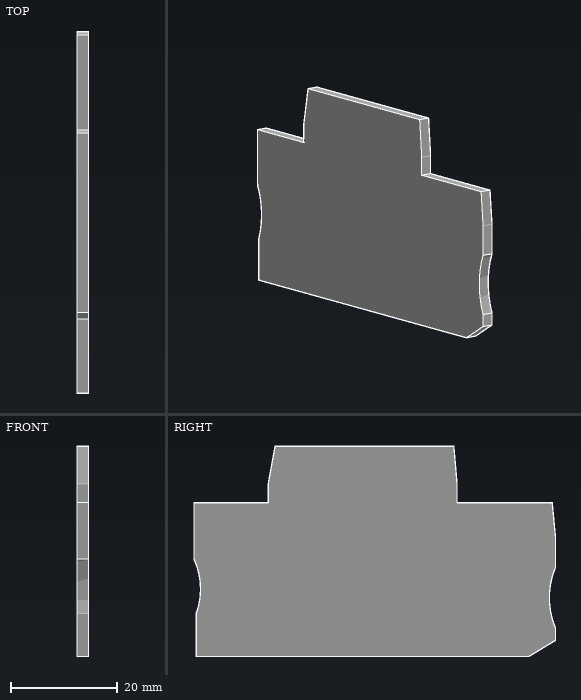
import cadquery as cq

thickness = 2.2
length = 68.15
height = 39.65
back = length / 2
front = -length / 2

shoulder_z = 29.0
tab_back = 15.55
tab_front = -20.1
tab_taper_height = 7.15
tab_back_taper = 0.6
tab_front_taper = 1.3

back_taper = 0.6
back_taper_height = 6.5
back_recess_top = 16.8
back_recess_bottom = 5.4
back_recess_depth = 1.15
chamfer_length = 5.05
chamfer_height = 3.1

front_recess_top = 18.4
front_recess_middle = 12.7
front_recess_bottom = 8.1
front_recess_depth = 1.2
front_setback = 0.4

back_recess_middle = (back_recess_top + back_recess_bottom) / 2
tab_taper_start = height - tab_taper_height
lower_front = front + front_setback

profile = (
    cq.Workplane("YZ")
    .workplane(offset=-thickness / 2)
    .moveTo(lower_front, 0)
    .lineTo(lower_front, front_recess_bottom)
    .threePointArc(
        (front + front_recess_depth, front_recess_middle),
        (front, front_recess_top),
    )
    .lineTo(front, shoulder_z)
    .lineTo(tab_front, shoulder_z)
    .lineTo(tab_front, tab_taper_start)
    .lineTo(tab_front + tab_front_taper, height)
    .lineTo(tab_back - tab_back_taper, height)
    .lineTo(tab_back, tab_taper_start)
    .lineTo(tab_back, shoulder_z)
    .lineTo(back - back_taper, shoulder_z)
    .lineTo(back, shoulder_z - back_taper_height)
    .lineTo(back, back_recess_top)
    .threePointArc(
        (back - back_recess_depth, back_recess_middle),
        (back, back_recess_bottom),
    )
    .lineTo(back, chamfer_height)
    .lineTo(back - chamfer_length, 0)
    .close()
)

result = profile.extrude(thickness)